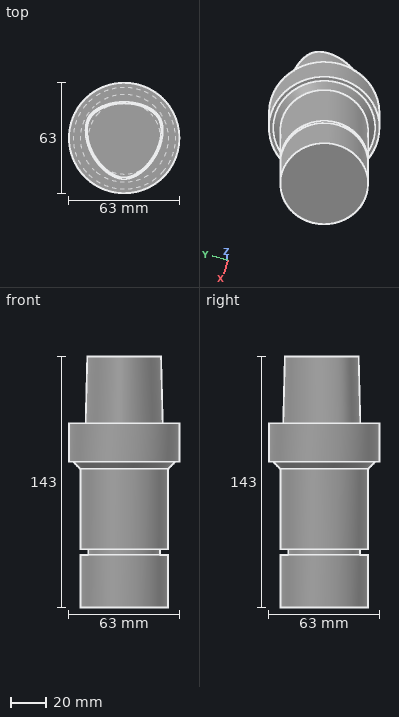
import cadquery as cq
import math

TOTAL_HEIGHT = 143.0

NUT_HEIGHT = 30.0
BARREL_DIAMETER = 50.0

NECK_DIAMETER = 41.0
NECK_HEIGHT = 3.1
SHOULDER_TOP = 83.0
SHOULDER_HEIGHT = 4.0
FLANGE_DIAMETER = 63.0
FLANGE_TOP = 105.0

SHANK_BASE_DIAMETER = 44.0
SHANK_TAPER = 0.05
LOBE_HEIGHT = 1.4
OUTLINE_POINTS = 48
FIRST_LOBE_ANGLE = -math.pi / 2

BARREL_RADIUS = BARREL_DIAMETER / 2
NECK_TOP = NUT_HEIGHT + NECK_HEIGHT
SHOULDER_BOTTOM = SHOULDER_TOP - SHOULDER_HEIGHT
SHOULDER_TOP_RADIUS = BARREL_RADIUS + SHOULDER_HEIGHT
SHANK_HEIGHT = TOTAL_HEIGHT - FLANGE_TOP
SHANK_TOP_DIAMETER = SHANK_BASE_DIAMETER - SHANK_TAPER * SHANK_HEIGHT


def lobed_point(diameter, normal_angle):
    """Point of a three-lobed constant-width outline whose normal has the given angle."""
    lobe_phase = 3 * (normal_angle - FIRST_LOBE_ANGLE)
    support = diameter / 2 + LOBE_HEIGHT * math.cos(lobe_phase)
    support_slope = -3 * LOBE_HEIGHT * math.sin(lobe_phase)
    x = support * math.cos(normal_angle) - support_slope * math.sin(normal_angle)
    y = support * math.sin(normal_angle) + support_slope * math.cos(normal_angle)
    return x, y


def lobed_outline(diameter):
    """Points around the closed three-lobed outline, starting at the -Y lobe."""
    step = 2 * math.pi / OUTLINE_POINTS
    return [lobed_point(diameter, FIRST_LOBE_ANGLE + i * step) for i in range(OUTLINE_POINTS)]


def make_shank():
    """Tapered three-lobed shank standing on the flange."""
    return (
        cq.Workplane("XY")
        .workplane(offset=FLANGE_TOP)
        .spline(lobed_outline(SHANK_BASE_DIAMETER), periodic=True, makeWire=True)
        .workplane(offset=SHANK_HEIGHT)
        .spline(lobed_outline(SHANK_TOP_DIAMETER), periodic=True, makeWire=True)
        .loft(ruled=True)
    )


def make_turned_section():
    """Neck, barrel, conical shoulder and flange, revolved about Z."""
    return (
        cq.Workplane("XZ")
        .moveTo(0, NUT_HEIGHT)
        .lineTo(NECK_DIAMETER / 2, NUT_HEIGHT)
        .lineTo(NECK_DIAMETER / 2, NECK_TOP)
        .lineTo(BARREL_RADIUS, NECK_TOP)
        .lineTo(BARREL_RADIUS, SHOULDER_BOTTOM)
        .lineTo(SHOULDER_TOP_RADIUS, SHOULDER_TOP)
        .lineTo(FLANGE_DIAMETER / 2, SHOULDER_TOP)
        .lineTo(FLANGE_DIAMETER / 2, FLANGE_TOP)
        .lineTo(0, FLANGE_TOP)
        .close()
        .revolve(360, (0, 0, 0), (0, 1, 0))
    )


def make_holder():
    """Turned section and lobed shank as one solid."""
    return make_turned_section().union(make_shank())


def make_nut():
    """Plain cylinder whose top face meets the neck of the holder."""
    return cq.Workplane("XY").circle(BARREL_RADIUS).extrude(NUT_HEIGHT)


holder = make_holder()
nut = make_nut()

result = cq.Compound.makeCompound([holder.solids().val(), nut.val()])